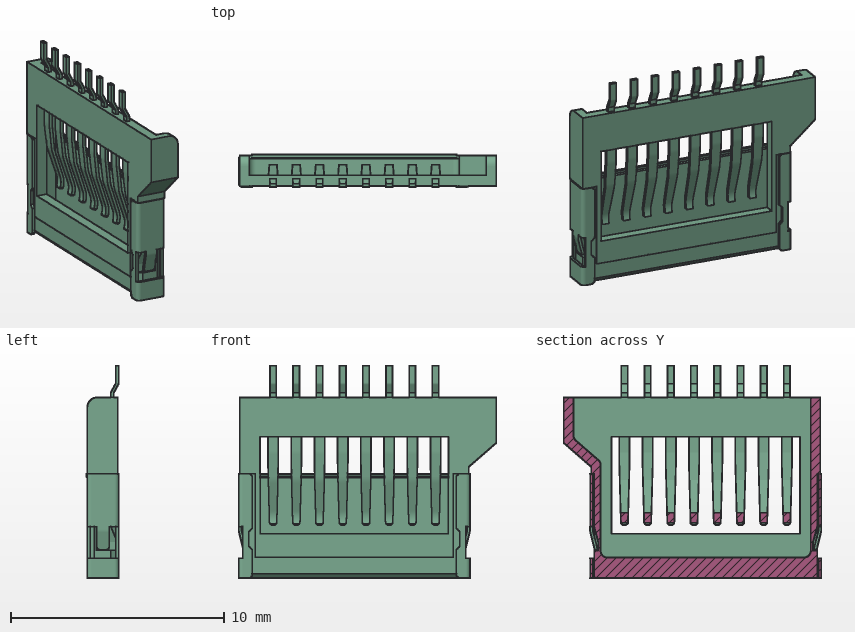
import cadquery as cq


SHELL_WIDTH = 10.86
SHELL_HEIGHT = 4.88
SHEET = 0.15
BEND_RADIUS = 0.19
BACK = 1.49
CENTRE_X = SHELL_WIDTH / 2
HOOK_WIDTH = 0.64
HOOK_CORNER = 0.11
NOTCH_BOTTOM, NOTCH_TOP = 1.33, 2.33
NOTCH_DEPTH = 0.16
LIP_INSET = 0.63
LIP_OFFSET = 0.05
LIP_FOOT, LIP_KNEE = 4.7, 4.78
OPENING_BOTTOM, OPENING_TOP = 0.93, 2.4

TONGUE_FRONT, TONGUE_BACK = 0.46, 1.03
TONGUE_BOTTOM, TONGUE_BEND = 1.33, 2.21
TONGUE_LEAN = 0.36
TONGUE_CORNER = 0.12
TONGUE_BEND_RADIUS = 0.48
LATCH_POCKET_DEPTH = 0.19
LATCH_POCKET_FRONT, LATCH_POCKET_BACK = SHEET, 1.05
LATCH_POCKET_BOTTOM, LATCH_POCKET_KNEE = 1.29, 1.68

HOUSING_LEFT, HOUSING_RIGHT = 0.05, 12.09
STEP_X = 10.8
HOUSING_TOP = 8.48
WING_TOP, WING_BOTTOM = 6.34, 5.21
HOUSING_FRONT = 0.05
FLOOR_BACK = 0.57
TOP_ROUND = 0.48
FRONT_PANEL_INSET = 0.79
PANEL_BOTTOM = 0.97
BOTTOM_CHAMFER = 0.2
FRONT_BEVEL_X, FRONT_BEVEL_Y = 0.15, 0.23
BACK_BEVEL_X, BACK_BEVEL_Y = 0.12, 0.19

CAVITY_LEFT = 0.51
CAVITY_RIGHT = SHELL_WIDTH - CAVITY_LEFT
CAVITY_WIDE_RIGHT = 11.62
CAVITY_BOTTOM = 0.97
CAVITY_WING_TOP, CAVITY_WING_BOTTOM = 6.54, 5.44
CAVITY_RADIUS = 0.3
WINDOW_INSET = 1.02
WINDOW_BOTTOM, WINDOW_TOP = 2.08, 6.61

CONTACT_COUNT = 8
CONTACT_PITCH = 1.09
CONTACT_SHEET = 0.16
CONTACT_TOP = 9.96
TAIL_WIDTH = 0.31
TAIL_BEND_TOP, TAIL_BEND_BOTTOM = 9.12, 8.69
TAIL_OFFSET = 0.23
TAIL_BEND_RADIUS = 0.18
ROOT_Z = 7.25
BLADE_WIDTH, NECK_WIDTH, TIP_WIDTH = 0.5, 0.37, 0.34
TAPER_TOP = 5.44
BEND_Z, BEND_Y = 4.61, 0.37
SLOPE_START = 5.89
BLADE_BEND_RADIUS = 1.21
NECK_Z, NECK_Y = 3.18, 0.85
CREST_Z, CREST_Y = 2.85, 0.91
TIP_Z, TIP_Y = 2.55, 0.85
TIP_RAKE = 0.07
TIP_CORNER = 0.1


def box(x0, x1, y0, y1, z0, z1):
    """Box given by its limits along each axis."""
    return cq.Workplane("XY").box(x1 - x0, y1 - y0, z1 - z0, centered=False).translate((x0, y0, z0))


def front_prism(points, y0, y1):
    """Prism with an XZ outline, running from y0 to y1."""
    return cq.Workplane("XZ", origin=(0, y0, 0)).polyline(points).close().extrude(y0 - y1)


def side_prism(points, x0, x1):
    """Prism with a YZ outline, running from x0 to x1."""
    return cq.Workplane("YZ", origin=(x0, 0, 0)).polyline(points).close().extrude(x1 - x0)


def both_sides(left):
    """The given left-hand solid together with its mirror image on the right."""
    right = left.mirror("YZ", (CENTRE_X, 0, 0))
    return left.union(right)


def make_upper_housing():
    outline = [
        (HOUSING_LEFT, SHELL_HEIGHT),
        (HOUSING_LEFT, HOUSING_TOP),
        (HOUSING_RIGHT, HOUSING_TOP),
        (HOUSING_RIGHT, WING_TOP),
        (STEP_X, WING_BOTTOM),
        (STEP_X, SHELL_HEIGHT),
    ]
    upper = front_prism(outline, HOUSING_FRONT, BACK)
    return upper.edges("|X and >Z and >Y").fillet(TOP_ROUND)


def make_lower_housing():
    left, right = BEND_RADIUS, SHELL_WIDTH - BEND_RADIUS
    front, back = SHEET, BACK - SHEET
    section = [
        (left + FRONT_BEVEL_X, front),
        (right - FRONT_BEVEL_X, front),
        (right, front + FRONT_BEVEL_Y),
        (right, back - BACK_BEVEL_Y),
        (right - BACK_BEVEL_X, back),
        (left + BACK_BEVEL_X, back),
        (left, back - BACK_BEVEL_Y),
        (left, front + FRONT_BEVEL_Y),
    ]
    core = cq.Workplane("XY").polyline(section).close().extrude(SHELL_HEIGHT)
    core = core.edges("|X and <Y and <Z").chamfer(BOTTOM_CHAMFER)
    panel_right = SHELL_WIDTH - FRONT_PANEL_INSET
    panel = box(FRONT_PANEL_INSET, panel_right, HOUSING_FRONT, FLOOR_BACK, PANEL_BOTTOM, SHELL_HEIGHT)
    return core.union(panel)


def make_cavity():
    outline = [
        (CAVITY_LEFT, CAVITY_BOTTOM),
        (CAVITY_LEFT, HOUSING_TOP),
        (CAVITY_WIDE_RIGHT, HOUSING_TOP),
        (CAVITY_WIDE_RIGHT, CAVITY_WING_TOP),
        (CAVITY_RIGHT, CAVITY_WING_BOTTOM),
        (CAVITY_RIGHT, CAVITY_BOTTOM),
    ]
    cavity = front_prism(outline, FLOOR_BACK, BACK)
    below_top = cq.selectors.BoxSelector((0, 0, 0), (HOUSING_RIGHT, BACK, HOUSING_TOP - 0.12))
    return cavity.edges("|Y").edges(below_top).fillet(CAVITY_RADIUS)


def make_latch_pocket():
    """Room for the left tongue in the side of the housing, deepening towards the bottom."""
    surface = BEND_RADIUS
    deepest = surface + LATCH_POCKET_DEPTH
    profile = [
        (surface, LATCH_POCKET_BOTTOM),
        (deepest, LATCH_POCKET_BOTTOM),
        (deepest, LATCH_POCKET_KNEE),
        (surface, OPENING_TOP),
    ]
    return front_prism(profile, LATCH_POCKET_FRONT, LATCH_POCKET_BACK)


def make_housing():
    window_right = SHELL_WIDTH - WINDOW_INSET
    window = box(WINDOW_INSET, window_right, 0, FLOOR_BACK, WINDOW_BOTTOM, WINDOW_TOP)
    housing = make_lower_housing().union(make_upper_housing())
    return housing.cut(make_cavity()).cut(window).cut(both_sides(make_latch_pocket()))


def make_hook_gap():
    """Open front of the shell, between the edges of its two hooks."""
    left_edge = [
        (HOOK_WIDTH - HOOK_CORNER, 0),
        (HOOK_WIDTH, HOOK_CORNER),
        (HOOK_WIDTH, NOTCH_BOTTOM),
        (HOOK_WIDTH - NOTCH_DEPTH, NOTCH_BOTTOM + NOTCH_DEPTH),
        (HOOK_WIDTH - NOTCH_DEPTH, NOTCH_TOP - NOTCH_DEPTH),
        (HOOK_WIDTH, NOTCH_TOP),
        (HOOK_WIDTH, SHELL_HEIGHT - HOOK_CORNER),
        (HOOK_WIDTH - HOOK_CORNER, SHELL_HEIGHT),
    ]
    right_edge = [(SHELL_WIDTH - x, z) for x, z in reversed(left_edge)]
    return front_prism(left_edge + right_edge, 0, SHEET)


def make_tongue():
    """Left latch tongue, leaning inwards below its bend."""
    profile = [
        (0, OPENING_TOP),
        (0, TONGUE_BEND),
        (TONGUE_LEAN - SHEET, TONGUE_BOTTOM),
        (TONGUE_LEAN, TONGUE_BOTTOM),
        (SHEET, TONGUE_BEND),
        (SHEET, OPENING_TOP),
    ]
    tongue = front_prism(profile, TONGUE_FRONT, TONGUE_BACK)
    outer_bend = cq.selectors.NearestToPointSelector((0, (TONGUE_FRONT + TONGUE_BACK) / 2, TONGUE_BEND))
    tongue = tongue.edges(outer_bend).fillet(TONGUE_BEND_RADIUS)
    blank = box(0, TONGUE_LEAN, TONGUE_FRONT, TONGUE_BACK, TONGUE_BOTTOM, OPENING_TOP)
    return tongue.intersect(blank.edges("|X and <Z").fillet(TONGUE_CORNER))


def make_lip():
    """Top edge of the back sheet, stepped backwards."""
    inner = BACK - SHEET
    profile = [
        (inner, LIP_FOOT),
        (inner + LIP_OFFSET, LIP_KNEE),
        (inner + LIP_OFFSET, SHELL_HEIGHT),
        (BACK + LIP_OFFSET, SHELL_HEIGHT),
        (BACK + LIP_OFFSET, LIP_KNEE),
        (BACK, LIP_FOOT),
    ]
    return side_prism(profile, LIP_INSET, SHELL_WIDTH - LIP_INSET)


def make_shell():
    outer = box(0, SHELL_WIDTH, 0, BACK, 0, SHELL_HEIGHT).edges("|Z").fillet(BEND_RADIUS)
    inner = box(SHEET, SHELL_WIDTH - SHEET, SHEET, BACK - SHEET, 0, SHELL_HEIGHT)
    inner = inner.edges("|Z").fillet(BEND_RADIUS - SHEET)
    opening = box(0, BEND_RADIUS, 0, BACK, OPENING_BOTTOM, OPENING_TOP)
    lip_space = box(LIP_INSET, SHELL_WIDTH - LIP_INSET, BACK - SHEET, BACK, LIP_FOOT, SHELL_HEIGHT)
    shell = outer.cut(inner).cut(make_hook_gap()).cut(both_sides(opening)).cut(lip_space)
    return shell.union(make_lip()).union(both_sides(make_tongue()))


def near(y, z):
    """Selector for the crosswise edge of a contact at the given place."""
    return cq.selectors.NearestToPointSelector((0, y, z))


def make_contact():
    """One contact centred on x = 0: cranked tail, root in the housing, and tapered spring blade."""
    tail_profile = [
        (0, CONTACT_TOP),
        (0, TAIL_BEND_TOP),
        (TAIL_OFFSET, TAIL_BEND_BOTTOM),
        (TAIL_OFFSET, ROOT_Z),
        (TAIL_OFFSET + CONTACT_SHEET, ROOT_Z),
        (TAIL_OFFSET + CONTACT_SHEET, TAIL_BEND_BOTTOM),
        (CONTACT_SHEET, TAIL_BEND_TOP),
        (CONTACT_SHEET, CONTACT_TOP),
    ]
    tail = side_prism(tail_profile, -TAIL_WIDTH / 2, TAIL_WIDTH / 2)
    tail = tail.edges(near(0, TAIL_BEND_TOP)).fillet(TAIL_BEND_RADIUS)
    blade = (
        cq.Workplane("YZ")
        .moveTo(TAIL_OFFSET, ROOT_Z)
        .lineTo(TAIL_OFFSET, SLOPE_START)
        .lineTo(BEND_Y, BEND_Z)
        .lineTo(NECK_Y, NECK_Z)
        .threePointArc((CREST_Y, CREST_Z), (TIP_Y, TIP_Z))
        .lineTo(TIP_Y + CONTACT_SHEET, TIP_Z - TIP_RAKE)
        .threePointArc((CREST_Y + CONTACT_SHEET, CREST_Z), (NECK_Y + CONTACT_SHEET, NECK_Z))
        .lineTo(BEND_Y + CONTACT_SHEET, BEND_Z)
        .lineTo(TAIL_OFFSET + CONTACT_SHEET, SLOPE_START)
        .lineTo(TAIL_OFFSET + CONTACT_SHEET, ROOT_Z)
        .close()
        .extrude(BLADE_WIDTH / 2, both=True)
    )
    for bend_y, bend_z in [(TAIL_OFFSET, SLOPE_START), (BEND_Y, BEND_Z)]:
        blade = blade.edges(near(bend_y, bend_z)).fillet(BLADE_BEND_RADIUS)
    tip_end = TIP_Z - TIP_RAKE
    right_edge = [
        (BLADE_WIDTH / 2, ROOT_Z),
        (BLADE_WIDTH / 2, TAPER_TOP),
        (NECK_WIDTH / 2, NECK_Z),
        (TIP_WIDTH / 2, tip_end + TIP_CORNER),
        (TIP_WIDTH / 2 - TIP_CORNER, tip_end),
    ]
    left_edge = [(-x, z) for x, z in reversed(right_edge)]
    outline = front_prism(right_edge + left_edge, 0, BACK)
    return tail.union(blade.intersect(outline))


result = make_housing().union(make_shell())
contact = make_contact()
for index in range(CONTACT_COUNT):
    offset = (index - (CONTACT_COUNT - 1) / 2) * CONTACT_PITCH
    result = result.union(contact.translate((CENTRE_X + offset, 0, 0)))